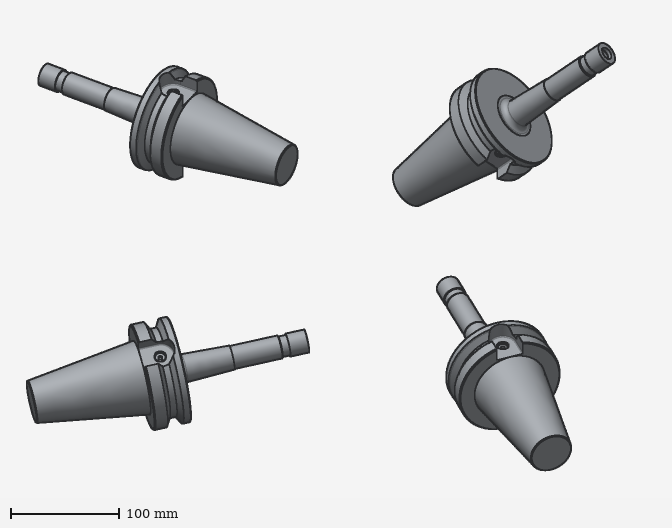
import cadquery as cq
import math

total_length = 261.8
neck_groove_start = 17.8
neck_groove_end = 25.7
neck_groove_slope = 0.8
cone_start = 71.2
collar_front = 121.7
flange_front = 122.0
flange_rear = 157.0
v_floor_start = 133.8
v_floor_end = 140.0

tip_radius = 22.0 / 2
neck_groove_radius = 19.6 / 2
cone_start_radius = 11.5
cone_end_radius = 13.4
collar_radius = 21.2
flange_radius = 100.0 / 2
v_floor_radius = 42.5
gauge_radius = 35.0
taper_end_radius = 20.2

fillet_radius = 5.2
front_chamfer = 0.8
rear_chamfer = 1.0
taper_end_chamfer = 0.8
v_angle = math.radians(60)
v_rear_width = (flange_radius - v_floor_radius) / math.tan(v_angle)
front_land_radius = flange_radius - front_chamfer
v_front_width = (front_land_radius - v_floor_radius) / math.tan(v_angle)

bore_radius = 11.0 / 2
bore_depth = 26.2
counterbore_radius = 6.0
counterbore_depth = 4.0

keyway_width = 25.7
keyway_floor = 35.3
keyway_center = 138.8
keyway_fillet = 0.8
keyway_overrun = 2.5

hole_center = 139.3
hole_radius = 10.0 / 2
hole_mouth_radius = 11.0 / 2
hole_depth = 2.5
pilot_radius = 4.0 / 2
pilot_depth = 5.2
drill_half_angle = math.radians(59)
drill_tip_depth = pilot_depth + pilot_radius / math.tan(drill_half_angle)


def turned_body():
    """Revolve the half outline of the holder about the X axis."""
    arc_mid = fillet_radius * math.sin(math.radians(45))
    fillet_start = collar_front - fillet_radius
    fillet_top = cone_end_radius + fillet_radius
    v_front = v_floor_start - v_front_width
    v_rear = v_floor_end + v_rear_width
    return (
        cq.Workplane("XY")
        .moveTo(0, 0)
        .lineTo(0, tip_radius)
        .lineTo(neck_groove_start, tip_radius)
        .lineTo(neck_groove_start, neck_groove_radius)
        .lineTo(neck_groove_end - neck_groove_slope, neck_groove_radius)
        .lineTo(neck_groove_end, tip_radius)
        .lineTo(cone_start, tip_radius)
        .lineTo(cone_start, cone_start_radius)
        .lineTo(fillet_start, cone_end_radius)
        .threePointArc(
            (fillet_start + arc_mid, fillet_top - arc_mid),
            (collar_front, fillet_top),
        )
        .lineTo(collar_front, collar_radius)
        .lineTo(flange_front, collar_radius)
        .lineTo(flange_front, flange_radius - front_chamfer)
        .lineTo(flange_front + front_chamfer, flange_radius)
        .lineTo(v_front - front_chamfer, flange_radius)
        .lineTo(v_front, front_land_radius)
        .lineTo(v_floor_start, v_floor_radius)
        .lineTo(v_floor_end, v_floor_radius)
        .lineTo(v_rear, flange_radius)
        .lineTo(flange_rear - rear_chamfer, flange_radius)
        .lineTo(flange_rear, flange_radius - rear_chamfer)
        .lineTo(flange_rear, gauge_radius)
        .lineTo(total_length - taper_end_chamfer, taper_end_radius)
        .lineTo(total_length, taper_end_radius - taper_end_chamfer)
        .lineTo(total_length, 0)
        .close()
        .revolve(360, (0, 0, 0), (1, 0, 0))
    )


def tip_bore():
    """Blind bore on the axis with a shallow counterbore."""
    face = cq.Workplane("YZ")
    bore = face.circle(bore_radius).extrude(bore_depth)
    counterbore = face.circle(counterbore_radius).extrude(counterbore_depth)
    return bore.union(counterbore)


def keyway_slot():
    """Round-ended slot, open to the rear, with a filleted floor."""
    length = flange_rear + keyway_overrun - keyway_center
    half_width = keyway_width / 2
    return (
        cq.Workplane("XY", origin=(keyway_center, 0, keyway_floor))
        .moveTo(length, -half_width)
        .lineTo(0, -half_width)
        .threePointArc((-half_width, 0), (0, half_width))
        .lineTo(length, half_width)
        .close()
        .extrude(flange_radius - keyway_floor)
        .edges("<Z and (not >X)")
        .fillet(keyway_fillet)
    )


def keyway_hole():
    """Chamfered hole with a drilled pilot below it, sunk from the keyway floor."""
    mouth_chamfer = hole_mouth_radius - hole_radius
    return (
        cq.Workplane("XZ", origin=(hole_center, 0, keyway_floor))
        .lineTo(hole_mouth_radius, 0)
        .lineTo(hole_radius, -mouth_chamfer)
        .lineTo(hole_radius, -hole_depth)
        .lineTo(pilot_radius, -hole_depth)
        .lineTo(pilot_radius, -pilot_depth)
        .lineTo(0, -drill_tip_depth)
        .close()
        .revolve(360, (0, 0, 0), (0, 1, 0))
    )


keyway = keyway_slot().union(keyway_hole())
result = turned_body().cut(tip_bore())
for angle in (0, 180):
    result = result.cut(keyway.rotate((0, 0, 0), (1, 0, 0), angle))